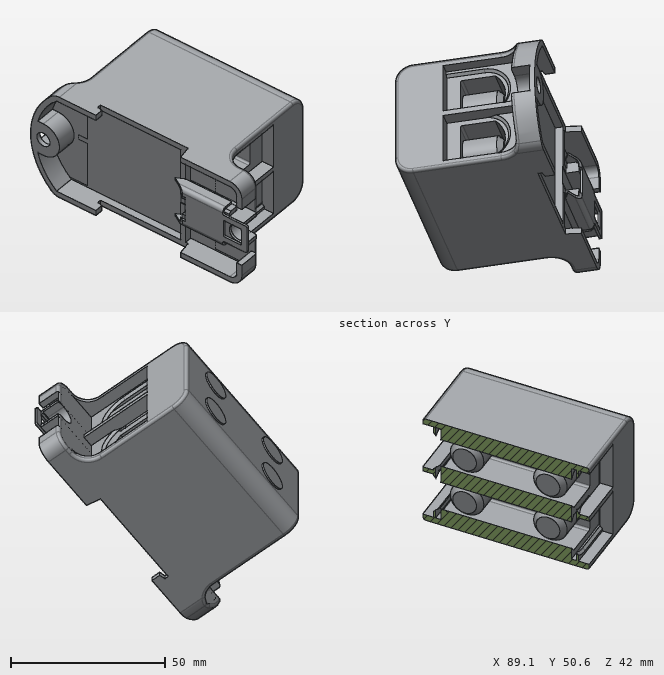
import cadquery as cq
import math


base_length = 86.9
base_width = 42.0
base_height = 8.1
body_length = 60.1
body_height = 50.1
foot_blend_radius = 6.5
top_edge_radius = 6.0
rim_radius = 1.1
nose_radius = 27.1
corner_radius = 5.0
base_end = base_length / 2
body_end = body_length / 2
half_width = base_width / 2

edge_margin = 0.1

wall = 2.1
recess_height = 7.7
rib_start = 14.3
rib_end = 16.4
end_gap_width = 23.3

rail_depth = 5.1
rail_left = -18.6
hook_left = -16.55
hook_tip = 3.2
hook_root = 3.7
rail_right_top = 17.35
rail_right_bottom = 18.25

mount_inset = 5.3
mount_x = mount_inset - base_end
mount_hole_radius = 2.7
mount_boss_radius = 6.6
screw_head_radius = 5.0
mount_floor = 1.7

pole_offset = 8.8
entry_top = 33.9
entry_depth = 3.8
divider = 1.9
entry_width = 17.6
funnel_radius = 8.8
funnel_center = 21.2
funnel_depth = 0.9
funnel_angle = 45
throat_depth = 6.4
cavity_top = 36.5
throat_top = 29.8
throat_bottom = 14.8
throat_shoulder = 18.2
throat_width = 14.6
throat_corner = 0.8
screw_x = 15.0
screw_radius = 6.05
screw_tip = 16.55
screw_chamfer = 1.8
screw_cap_diameter = 10.15
screw_cap_top = 50.6

sheet = 0.8
clip_width = 15.8
clip_bend_radius = 1.6
clip_height = 4.8
clip_tip_x = 13.4
clip_tip_y = 3.2
clip_start = 19.0
clip_plate_start = 20.1
clip_notch_width = 10.0
clip_shoulder = 35.5
clip_end = 45.6
tab_width = 11.0
tab_corner = 0.7
window_start = 35.9
window_end = 43.2
window_width = 6.7
window_corner = 0.45

guide_start = rib_end
guide_rail_start = rail_right_bottom
guide_width = 10.9
guide_channel = window_width
guide_channel_depth = 5.3
guide_wing_end = 37.65
guide_wing_width = clip_width - 2 * sheet
guide_slot_center = 40.85
guide_slot_radius = 3.2
guide_seat_radius = 4.0


def box(x0, x1, y0, y1, z0, z1):
    """Box between opposite corners."""
    return cq.Workplane("XY").box(x1 - x0, y1 - y0, z1 - z0, centered=False).translate((x0, y0, z0))


def upright(x, z, radius, y0, y1):
    """Cylinder with its axis along Y."""
    return cq.Workplane("XZ", origin=(x, y0, z)).circle(radius).extrude(y0 - y1)


def plan(inset, height):
    """Base outline, shrunk by inset, with an arc at the -X end and rounded +X corners."""
    side = half_width - inset
    end = base_end - inset
    nose = nose_radius - inset
    nose_center = nose_radius - base_end
    arc_end = nose_center - math.sqrt(nose**2 - side**2)
    return (
        cq.Workplane("XZ")
        .moveTo(end, -side)
        .lineTo(end, side)
        .lineTo(arc_end, side)
        .threePointArc((nose_center - nose, 0), (arc_end, -side))
        .close()
        .extrude(-height)
        .edges("|Y and >X")
        .fillet(corner_radius - inset)
    )


def make_housing():
    """Solid housing with its two feet and all outer roundings."""
    blend_end = body_end + foot_blend_radius
    blend_top = base_height + foot_blend_radius
    profile = (
        cq.Workplane("XY", origin=(0, 0, -half_width))
        .moveTo(-base_end, 0)
        .lineTo(base_end, 0)
        .lineTo(base_end, base_height)
        .lineTo(blend_end, base_height)
        .radiusArc((body_end, blend_top), foot_blend_radius)
        .lineTo(body_end, body_height)
        .lineTo(-body_end, body_height)
        .lineTo(-body_end, blend_top)
        .radiusArc((-blend_end, base_height), foot_blend_radius)
        .lineTo(-base_end, base_height)
        .close()
        .extrude(base_width)
        .edges("|X and >Y")
        .fillet(top_edge_radius)
    )
    outline = plan(0, body_height).edges("|Y").edges("<X").fillet(corner_radius)
    housing = profile.intersect(outline)
    foot_top_edges = cq.selectors.BoxSelector(
        (-base_length, base_height - edge_margin, -half_width),
        (base_length, base_height + edge_margin, half_width),
    )
    for end in ("<X", ">X"):
        housing = housing.edges(foot_top_edges).edges(end).fillet(rim_radius)
    return housing


def make_recess():
    """Hollow underside, leaving the mounting boss and a cross rib."""
    recess = plan(wall, recess_height)
    boss = upright(mount_x, 0, mount_boss_radius, 0, recess_height)
    boss = boss.union(box(-base_end, mount_x, 0, recess_height, -mount_boss_radius, mount_boss_radius))
    rib = box(rib_start, rib_end, 0, recess_height, -half_width, half_width)
    end_gap = box(base_end - 2 * wall, base_end, 0, recess_height, -end_gap_width / 2, end_gap_width / 2)
    return recess.cut(boss).cut(rib).union(end_gap)


def make_rail_slot():
    """Slot for the rail, with a fixed hook on the -X side and a sloping wall on the +X side."""
    return (
        cq.Workplane("XY", origin=(0, 0, -half_width))
        .polyline([
            (hook_left, 0),
            (hook_left, hook_tip),
            (rail_left, hook_root),
            (rail_left, rail_depth),
            (rail_right_top, rail_depth),
            (rail_right_bottom, 0),
        ])
        .close()
        .extrude(base_width)
    )


def make_mount_hole():
    """Screw hole with a head seat that is open towards the end of the foot."""
    hole = upright(mount_x, 0, mount_hole_radius, 0, base_height)
    seat = upright(mount_x, 0, screw_head_radius, mount_floor, base_height)
    mouth = box(-base_end, mount_x, mount_floor, base_height, -screw_head_radius, screw_head_radius)
    return hole.union(seat).union(mouth)


def make_entry(z):
    """Wire passage of one pole: a rectangular mouth at each end, a funnel and a D-shaped throat."""
    z_inner = divider / 2
    z_low, z_high = (z_inner, z_inner + entry_width) if z > 0 else (-z_inner - entry_width, -z_inner)
    throat_half = throat_width / 2
    entry = (
        cq.Workplane("YZ", origin=(-body_end, 0, z))
        .moveTo(throat_top, -throat_half)
        .lineTo(throat_top, throat_half)
        .lineTo(throat_shoulder, throat_half)
        .threePointArc((throat_bottom, 0), (throat_shoulder, -throat_half))
        .close()
        .extrude(body_length)
        .edges("|X and >Y")
        .fillet(throat_corner)
    )
    mouth_floor = body_end - entry_depth
    lane = box(-base_end, base_end, base_height, entry_top, z_low, z_high)
    funnel = (
        cq.Workplane("YZ", origin=(mouth_floor, 0, z))
        .moveTo(entry_top + funnel_depth, -funnel_radius)
        .lineTo(entry_top + funnel_depth, funnel_radius)
        .lineTo(funnel_center, funnel_radius)
        .threePointArc((funnel_center - funnel_radius, 0), (funnel_center, -funnel_radius))
        .close()
        .extrude(-funnel_depth, taper=funnel_angle)
        .intersect(lane)
    )
    mouth = box(mouth_floor, body_end, base_height, entry_top, z_low, z_high)
    end = mouth.union(funnel)
    return entry.union(end).union(end.mirror("YZ"))


def make_end_cavities():
    """Hollow behind each end wall, in front of the block that holds the throats."""
    half = divider / 2 + entry_width
    wall_back = body_end - entry_depth - funnel_depth
    cavity = box(body_end - throat_depth, wall_back, funnel_center - funnel_radius, cavity_top, -half, half)
    return cavity.union(cavity.mirror("YZ"))


def make_approaches():
    """Clearance above both feet, as wide as the two wire entries together."""
    half = divider / 2 + entry_width
    approach = box(body_end, base_end, base_height, entry_top, -half, half)
    return approach.union(approach.mirror("YZ"))


def make_screw(x, z):
    """Clamping screw reaching down into the throat, with its cap on the top face."""
    shank = upright(x, z, screw_radius, screw_tip, entry_top)
    shank = shank.faces("<Y").chamfer(screw_chamfer)
    cap = upright(x, z, screw_cap_diameter / 2, entry_top, screw_cap_top)
    return shank.union(cap)


def make_guide():
    """Block with wings on which the clip slides, joined to the cross rib by a ledge."""
    half = guide_width / 2
    half_wing = guide_wing_width / 2
    guide = box(guide_rail_start, base_end, sheet, recess_height, -half, half)
    wings = (
        box(guide_rail_start, guide_wing_end, sheet, clip_height, -half_wing, half_wing)
        .edges("|X and <Y")
        .chamfer(sheet)
    )
    ledge = box(guide_start, guide_rail_start, rail_depth, recess_height, -half, half)
    return guide.union(wings).union(ledge)


def make_guide_channel():
    """Shallow groove in the cross rib that runs on between the guide rails."""
    half = guide_channel / 2
    channel_end = guide_slot_center - mount_boss_radius
    return box(rib_start, channel_end, 0, guide_channel_depth, -half, half)


def open_slot(radius, y0, y1):
    """Slot with a round inner end that is open at the +X end of the foot."""
    return upright(guide_slot_center, 0, radius, y0, y1).union(
        box(guide_slot_center, base_end, y0, y1, -radius, radius)
    )


def make_guide_slot():
    """Open-ended screw slot through the guide and the foot, with a seat for the screw head."""
    return open_slot(guide_slot_radius, 0, base_height).union(
        open_slot(guide_seat_radius, mount_floor, base_height)
    )


def make_clip():
    """Bent sheet clip: a U-shaped channel with pointed side flanges and a windowed pull tab."""
    half = clip_width / 2
    half_tab = tab_width / 2
    channel = box(clip_tip_x, clip_shoulder, 0, clip_height, -half, half)
    channel = channel.edges("|X and <Y").fillet(clip_bend_radius)
    hollow = box(clip_tip_x, clip_shoulder, sheet, clip_height, -half + sheet, half - sheet)
    hollow = hollow.edges("|X and <Y").fillet(clip_bend_radius - sheet)
    flange_profile = (
        cq.Workplane("XY", origin=(0, 0, -half))
        .polyline([
            (clip_start, 0),
            (clip_tip_x, clip_tip_y),
            (rib_end, clip_height),
            (clip_shoulder, clip_height),
            (clip_shoulder, 0),
        ])
        .close()
        .extrude(clip_width)
    )
    notch = box(
        clip_tip_x, clip_plate_start, 0, clip_height, -clip_notch_width / 2, clip_notch_width / 2
    )
    tab = box(clip_plate_start, clip_end, 0, sheet, -half_tab, half_tab)
    tab = tab.edges("|Y and >X").fillet(tab_corner)
    window = box(window_start, window_end, 0, sheet, -window_width / 2, window_width / 2)
    window = window.edges("|Y").fillet(window_corner)
    clip = channel.cut(hollow).intersect(flange_profile).cut(notch).union(tab).cut(window)
    shoulder = cq.selectors.BoxSelector(
        (clip_shoulder - edge_margin, 0, -half_tab - edge_margin),
        (clip_shoulder + edge_margin, sheet, half_tab + edge_margin),
    )
    return clip.edges(shoulder).edges("|Y").fillet(tab_corner)


result = make_housing().cut(make_recess()).cut(make_rail_slot())
result = result.cut(make_approaches()).cut(make_end_cavities()).cut(make_mount_hole())
for pole_z in (-pole_offset, pole_offset):
    result = result.cut(make_entry(pole_z))
    for x in (-screw_x, screw_x):
        result = result.union(make_screw(x, pole_z))
result = result.union(make_guide()).cut(make_guide_channel()).cut(make_guide_slot())
result = result.union(make_clip())